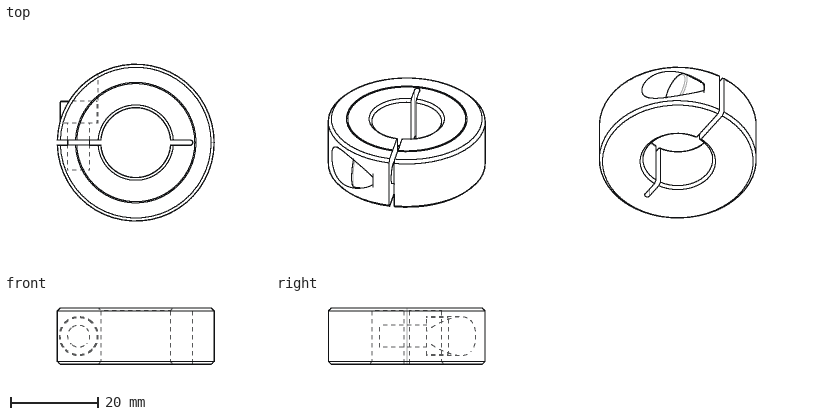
import cadquery as cq

outer_radius = 18.0
bore_radius = 8.0
height = 13.0
outer_chamfer = 0.72
bore_chamfer = 0.65

groove_outer_radius = 13.82
groove_width = 0.3
groove_depth = 0.07

slit_width = 1.2
slit_end_x = 13.05

screw_x = -13.05
shank_radius = 2.52
shank_length = 10.8
head_radius = 4.25
head_length = 5.05
head_fillet = 0.35
head_seat_y = 4.5
counterbore_radius = 4.45


def cylinder_along_y(radius, start_y, end_y):
    """Cylinder on the screw axis, running from start_y to end_y."""
    return (
        cq.Workplane("XZ", origin=(screw_x, start_y, 0))
        .circle(radius)
        .extrude(start_y - end_y)
    )


def make_ring():
    """Ring with chamfered outer and bore edges."""
    ring = cq.Workplane("XY").cylinder(height, outer_radius)
    ring = ring.edges("%CIRCLE").chamfer(outer_chamfer)
    bore = cq.Workplane("XY").cylinder(height, bore_radius)
    ring = ring.cut(bore)
    return ring.edges(cq.selectors.RadiusNthSelector(0)).chamfer(bore_chamfer)


def make_groove():
    """Cutter for the groove in the top face."""
    return (
        cq.Workplane("XY", origin=(0, 0, height / 2))
        .circle(groove_outer_radius)
        .circle(groove_outer_radius - groove_width)
        .extrude(-groove_depth)
    )


def make_slit():
    """Cutter for the slit, through the full height."""
    half_width = slit_width / 2
    arc_x = slit_end_x - half_width
    return (
        cq.Workplane("XY", origin=(0, 0, -height / 2))
        .moveTo(-outer_radius, -half_width)
        .lineTo(arc_x, -half_width)
        .threePointArc((slit_end_x, 0), (arc_x, half_width))
        .lineTo(-outer_radius, half_width)
        .close()
        .extrude(height)
    )


def make_collar():
    """Split ring with a counterbored hole that fits the screw."""
    shank_hole = cylinder_along_y(shank_radius, head_seat_y - shank_length, head_seat_y)
    counterbore = cylinder_along_y(counterbore_radius, head_seat_y, outer_radius)
    return make_ring().cut(make_groove()).cut(make_slit()).cut(shank_hole).cut(counterbore)


def make_screw():
    """Cap screw whose head rests on the counterbore floor."""
    head = cylinder_along_y(head_radius, head_seat_y, head_seat_y + head_length)
    head = head.faces(">Y").edges().fillet(head_fillet)
    shank = cylinder_along_y(shank_radius, head_seat_y - shank_length, head_seat_y)
    return head.union(shank)


collar = make_collar()
screw = make_screw()

result = cq.Compound.makeCompound([collar.solids().val(), screw.solids().val()])